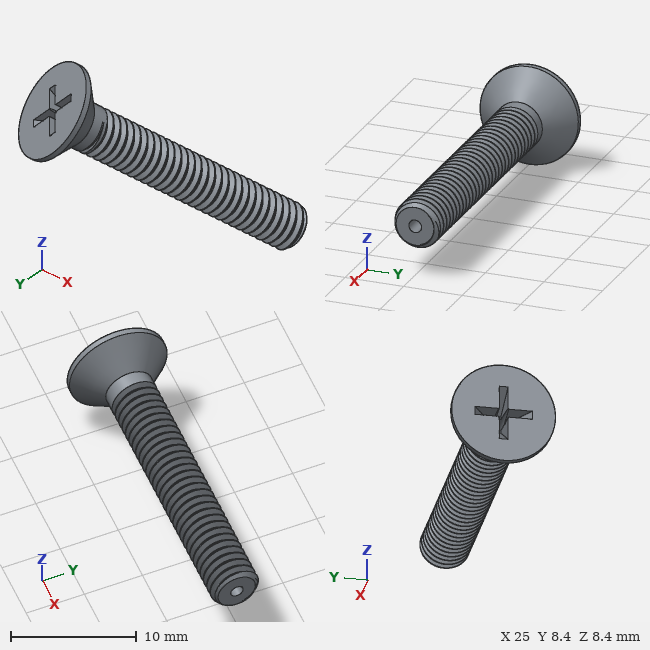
import cadquery as cq
import math

total_length = 25.0
head_diameter = 8.4
rim_thickness = 0.5
major_diameter = 4.0
bore_diameter = 1.08
tip_chamfer = 0.38

pitch = 0.7
minor_diameter = 3.18
crest_flat = 0.1
flank_half_angle = math.radians(30)
thread_start = 3.98
thread_start_angle = 90
run_in_angle = 165
run_in_sections = 12
thread_allowance = 2.5
surface_overlap = 0.05

recess_depth = 2.25
mouth_span, mouth_width = 4.62, 0.7
floor_span, floor_width = 1.4, 0.4

head_radius = head_diameter / 2
major_radius = major_diameter / 2
minor_radius = minor_diameter / 2
thread_depth = major_radius - minor_radius
neck_start = rim_thickness + head_radius - major_radius


def blank():
    """Turned countersunk head and plain shank, left overlong for threading."""
    outline = [
        (0, 0),
        (head_radius, 0),
        (head_radius, rim_thickness),
        (major_radius, neck_start),
        (major_radius, total_length + thread_allowance),
        (0, total_length + thread_allowance),
    ]
    return cq.Workplane("XZ").polyline(outline).close().revolve(360, (0, 0), (0, 1))


def tip_waste():
    """Material beyond the flat end and its 45 degree chamfer."""
    clear_radius = major_radius + tip_chamfer
    outline = [
        (0, total_length),
        (major_radius - tip_chamfer, total_length),
        (clear_radius, total_length - 2 * tip_chamfer),
        (clear_radius, total_length + 2 * thread_allowance),
        (0, total_length + 2 * thread_allowance),
    ]
    return cq.Workplane("XZ").polyline(outline).close().revolve(360, (0, 0), (0, 1))


def groove_section(angle, height, depth):
    """Trapezoidal groove section in the plane through the axis at the given angle."""
    slope = math.tan(flank_half_angle)
    root_half = (pitch - crest_flat) / 2 - thread_depth * slope
    outer_half = root_half + (depth + surface_overlap) * slope
    inner = major_radius - depth
    outer = major_radius + surface_overlap
    corners = [
        (inner, height - root_half),
        (outer, height - outer_half),
        (outer, height + outer_half),
        (inner, height + root_half),
    ]
    turn = math.radians(angle)
    points = [cq.Vector(r * math.cos(turn), r * math.sin(turn), z) for r, z in corners]
    return cq.Wire.makePolygon(points, close=True)


def thread_groove():
    """Right-handed groove from its full-depth start to beyond the finished tip."""
    length = total_length + thread_allowance / 2 - thread_start
    helix = cq.Wire.makeHelix(pitch, length, major_radius)
    section = groove_section(0, 0, thread_depth)
    groove = cq.Workplane(cq.Solid.sweep(section, [], helix, isFrenet=True))
    return groove.rotate((0, 0, 0), (0, 0, 1), thread_start_angle).translate((0, 0, thread_start))


def groove_run_in():
    """Start of the groove, deepening from the plain neck to the full section."""
    sections = []
    for i in range(run_in_sections + 1):
        progress = i / run_in_sections
        turn_left = run_in_angle * (1 - progress)
        height = thread_start - pitch * turn_left / 360
        depth = thread_depth * progress
        sections.append(groove_section(thread_start_angle - turn_left, height, depth))
    return cq.Workplane(cq.Solid.makeLoft(sections))


def recess_arm():
    """Slot across the head, tapering on all sides to its flat floor."""
    return (
        cq.Workplane("XY")
        .rect(mouth_span, mouth_width)
        .workplane(offset=recess_depth)
        .rect(floor_span, floor_width)
        .loft()
    )


screw = blank().cut(groove_run_in()).cut(thread_groove()).cut(tip_waste())

for arm_angle in (0, 90):
    screw = screw.cut(recess_arm().rotate((0, 0, 0), (0, 0, 1), arm_angle))

bore = cq.Workplane("XY").circle(bore_diameter / 2).extrude(total_length)
screw = screw.cut(bore)

result = screw.rotate((0, 0, 0), (0, 1, 0), 90)